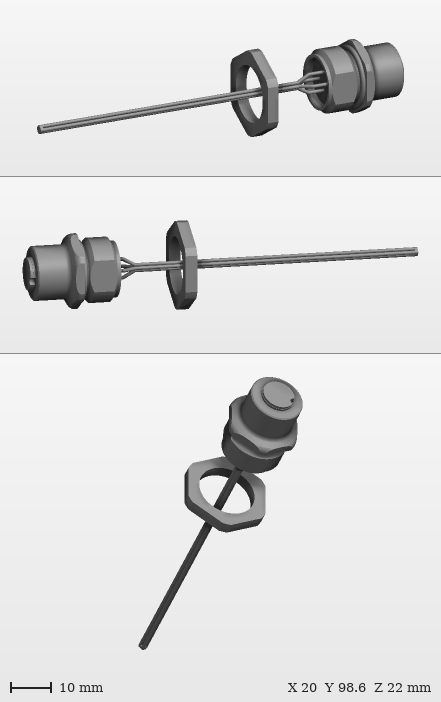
import cadquery as cq
import math

LENGTH = 98.6

INSERT_DIA = 8.1
INSERT_LIP_DIA = 8.3
INSERT_TIP_LENGTH = 0.7
BARREL_FRONT_Y = 97.3
BARREL_DIA = 13.5
BARREL_CHAMFER = 0.3
KEYWAY_DIA = 2.0
KEYWAY_ANGLE = 196.0

FLANGE_REAR_Y = 86.0
FLANGE_RIM_LENGTH = 1.8
FLANGE_FLATS = 17.1
FLANGE_DIA = 18.7
FLANGE_CONE_SLOPE = 60.0
FLANGE_ROOT_FILLET = 1.0
FLANGE_RIM_FILLET = 1.5

SEAL_TUBE_DIA = 1.3
SEAL_OUTER_DIA = 16.0
SEAL_CENTRE_Y = 85.7
SEAL_REAR_Y = 85.1

BODY_DIA = 16.1
BODY_FRONT_Y = 84.5
BODY_CONE_END_Y = 78.2
LIP_FRONT_Y = 77.3
LIP_DIA = 14.0
BODY_REAR_Y = 76.4
CAVITY_DIA = 12.0
CAVITY_DEPTH = 2.1
CAVITY_CHAMFER = 0.3

WIRE_DIA = 0.9
WIRE_COUNT = 4
WIRE_SPREAD = 2.4
WIRE_BUNDLE = 0.7
WIRE_BEND_Y = 74.6
WIRE_BEND_RADIUS = 1.2
WIRE_BEND_ANGLE = 29.0
END_DISC_DIA = 2.0
END_DISC_LENGTH = 0.8

NUT_REAR_Y = 58.0
NUT_THICKNESS = 3.0
NUT_FLATS = 20.0
NUT_CORNER_DIA = 22.0
NUT_HOLE_DIA = 14.4


def cylinder(diameter, y_start, y_end):
    """Round bar along the Y axis."""
    return cq.Workplane("XZ", origin=(0, y_start, 0)).circle(diameter / 2).extrude(y_start - y_end)


def hexagon(flats, y_start, y_end):
    """Hexagonal bar along Y with flats facing +X and -X."""
    corner_radius = flats / 2 / math.cos(math.pi / 6)
    corners = []
    for i in range(6):
        angle = math.radians(30 + 60 * i)
        corners.append((corner_radius * math.cos(angle), corner_radius * math.sin(angle)))
    return cq.Workplane("XZ", origin=(0, y_start, 0)).polyline(corners).close().extrude(y_start - y_end)


def revolved(outline):
    """Solid of revolution about Y from (radius, y) points."""
    return cq.Workplane("XY").polyline(outline).close().revolve(360, (0, 0, 0), (0, 1, 0))


def edge_at(y, radius):
    """Selector for circular edges at the given Y that are no larger than the given radius."""
    margin = 0.1
    reach = radius + margin
    return cq.selectors.BoxSelector(
        (-reach, y - margin, -reach), (reach, y + margin, reach), boundingbox=True
    )


def make_insert():
    tip = cylinder(INSERT_DIA, BARREL_FRONT_Y, LENGTH)
    lip = cylinder(INSERT_LIP_DIA, BARREL_FRONT_Y, LENGTH - INSERT_TIP_LENGTH)
    keyway_angle = math.radians(KEYWAY_ANGLE)
    keyway = cylinder(KEYWAY_DIA, BARREL_FRONT_Y, LENGTH).translate((
        INSERT_LIP_DIA / 2 * math.cos(keyway_angle),
        0,
        INSERT_LIP_DIA / 2 * math.sin(keyway_angle),
    ))
    return tip.union(lip).cut(keyway)


def make_flange_and_barrel():
    barrel_radius = BARREL_DIA / 2
    flange_radius = FLANGE_DIA / 2
    rim_y = FLANGE_REAR_Y + FLANGE_RIM_LENGTH
    root_y = rim_y + (flange_radius - barrel_radius) / math.tan(math.radians(FLANGE_CONE_SLOPE))
    turned = revolved([
        (0, FLANGE_REAR_Y),
        (flange_radius, FLANGE_REAR_Y),
        (flange_radius, rim_y),
        (barrel_radius, root_y),
        (barrel_radius, BARREL_FRONT_Y),
        (0, BARREL_FRONT_Y),
    ])
    turned = turned.faces(">Y").edges().chamfer(BARREL_CHAMFER)
    turned = turned.edges(edge_at(root_y, barrel_radius)).fillet(FLANGE_ROOT_FILLET)
    turned = turned.edges(edge_at(rim_y, flange_radius)).fillet(FLANGE_RIM_FILLET)
    return turned.intersect(hexagon(FLANGE_FLATS, FLANGE_REAR_Y, BARREL_FRONT_Y))


def make_seal():
    """Round bead seated a little way into the flange, cut square behind."""
    tube_radius = SEAL_TUBE_DIA / 2
    outer_radius = SEAL_OUTER_DIA / 2

    def bead_radius(y):
        return outer_radius - tube_radius + math.sqrt(tube_radius ** 2 - (y - SEAL_CENTRE_Y) ** 2)

    return (
        cq.Workplane("XY")
        .moveTo(0, FLANGE_REAR_Y)
        .lineTo(bead_radius(FLANGE_REAR_Y), FLANGE_REAR_Y)
        .threePointArc((outer_radius, SEAL_CENTRE_Y), (bead_radius(SEAL_REAR_Y), SEAL_REAR_Y))
        .lineTo(0, SEAL_REAR_Y)
        .close()
        .revolve(360, (0, 0, 0), (0, 1, 0))
    )


def make_rear_body():
    neck_radius = BARREL_DIA / 2
    body_radius = BODY_DIA / 2
    lip_radius = LIP_DIA / 2
    turned = revolved([
        (0, BODY_REAR_Y),
        (lip_radius, BODY_REAR_Y),
        (lip_radius, LIP_FRONT_Y),
        (body_radius, BODY_CONE_END_Y),
        (body_radius, BODY_FRONT_Y - (body_radius - neck_radius)),
        (neck_radius, BODY_FRONT_Y),
        (neck_radius, FLANGE_REAR_Y),
        (0, FLANGE_REAR_Y),
    ])
    flats_length = FLANGE_REAR_Y - BODY_REAR_Y
    flats = cq.Workplane("XY").box(LIP_DIA, flats_length, BODY_DIA).translate(
        (0, BODY_REAR_Y + flats_length / 2, 0)
    )
    cavity = cylinder(CAVITY_DIA, BODY_REAR_Y, BODY_REAR_Y + CAVITY_DEPTH)
    body = turned.intersect(flats).cut(cavity)
    return body.edges(edge_at(BODY_REAR_Y, CAVITY_DIA / 2)).chamfer(CAVITY_CHAMFER)


def make_wire():
    """One wire on the +X side: straight out of the body, bent inward, then straight along the bundle."""
    angle = math.radians(WIRE_BEND_ANGLE)
    start_y = BODY_REAR_Y + CAVITY_DEPTH

    def bend_point(turn):
        return (
            WIRE_SPREAD - WIRE_BEND_RADIUS * (1 - math.cos(turn)),
            WIRE_BEND_Y - WIRE_BEND_RADIUS * math.sin(turn),
        )

    bend_end_x, bend_end_y = bend_point(angle)
    joint_y = bend_end_y - (bend_end_x - WIRE_BUNDLE) / math.tan(angle)
    axis_y = bend_end_y - bend_end_x / math.tan(angle)
    path = (
        cq.Workplane("XY")
        .moveTo(WIRE_SPREAD, start_y)
        .lineTo(WIRE_SPREAD, WIRE_BEND_Y)
        .threePointArc(bend_point(angle / 2), (bend_end_x, bend_end_y))
        .lineTo(0, axis_y)
    )
    lead = (
        cq.Workplane("XZ", origin=(WIRE_SPREAD, start_y, 0))
        .circle(WIRE_DIA / 2)
        .sweep(path)
        .intersect(cylinder(BODY_DIA, joint_y, start_y))
    )
    bundled = cylinder(WIRE_DIA, 0, joint_y).translate((WIRE_BUNDLE, 0, 0))
    return lead.union(bundled)


def make_connector():
    connector = make_flange_and_barrel().union(make_insert()).union(make_seal()).union(make_rear_body())
    wires = cylinder(END_DISC_DIA, 0, END_DISC_LENGTH)
    for i in range(WIRE_COUNT):
        wires = wires.union(make_wire().rotate((0, 0, 0), (0, 1, 0), 360 / WIRE_COUNT * i))
    return connector.union(wires)


def make_lock_nut():
    front_y = NUT_REAR_Y + NUT_THICKNESS
    nut = hexagon(NUT_FLATS, NUT_REAR_Y, front_y).intersect(cylinder(NUT_CORNER_DIA, NUT_REAR_Y, front_y))
    return nut.cut(cylinder(NUT_HOLE_DIA, NUT_REAR_Y, front_y))


connector = make_connector()
lock_nut = make_lock_nut()
result = cq.Compound.makeCompound([connector.val(), lock_nut.val()])